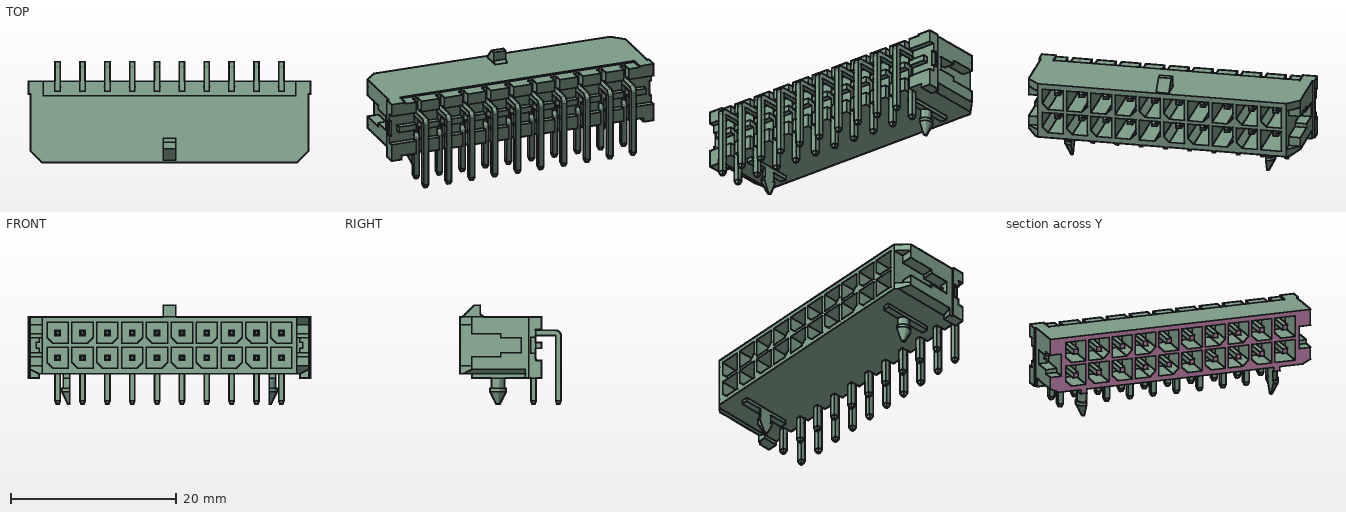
import cadquery as cq


COLUMNS = 10
PITCH = 3.0

HOUSING_HALF = 16.85
HOUSING_TOP = 6.9
MID_HEIGHT = HOUSING_TOP / 2
CORNER_CHAMFER = 1.45
CHAMFER_FACE_HALF = HOUSING_HALF - CORNER_CHAMFER
WINDOW_HEIGHT = 5.0

FLANGE_HALF = 17.08
FLANGE_FRONT = 8.3
FLANGE_BACK = 9.87
LEG_FRONT = 7.92
LEG_INNER = 15.78
LEG_DROP = 0.5
BEVEL_HEIGHT = 0.55

NOTCH_FRONT = 9.15
NOTCH_BOTTOM = 1.65
NOTCH_TOP = 5.35
RIB_HALF = 16.12
RIB_HEIGHT = 0.72
TOP_RECESS_HALF = 15.25
TOP_RECESS_FRONT = 8.1
TOP_RECESS_DEPTH = 0.17
PIN_SLOT_FRONT = 8.65
SIDE_RECESS_FRONT = 8.55
SIDE_RECESS_HEIGHT = 1.95

WIDE_SLOT_END = 4.92
WIDE_SLOT_HEIGHT = 2.75
NARROW_SLOT_END = 7.4
NARROW_SLOT_HEIGHT = 1.78
SLOT_RELIEF_END = 7.65

POCKET_SIZE = 2.55
POCKET_DEPTH = 6.83
POCKET_KEY = 0.72
TOP_ROW_KEYS = "LRRRLLRRLL"
BOTTOM_ROW_KEYS = "LLLRRLLRL-"

PIN_WIDTH = 0.65
PIN_TIP_WIDTH = 0.35
PIN_TIP_LENGTH = 0.4
PIN_FRONT = 2.05
PIN_BOTTOM = -3.65
TOP_PIN_BACK = 12.23
BOTTOM_PIN_BACK = 9.22
BEND_RADIUS = PIN_WIDTH

LATCH_WIDTH = 1.57
LATCH_TOP = 8.3
LATCH_RAMP_START = 0.3
LATCH_RAMP_END = 1.7
LATCH_BACK = 2.45
LATCH_FOOT_BACK = 2.95
LATCH_FOOT_HEIGHT = 0.3

PEG_FLAT = 12.05
PEG_Y = 4.6
PEG_RADIUS = 0.82
BARB_RADIUS = 1.0
BARB_TIP_RADIUS = 0.25
BARB_TOP = -1.75
BARB_SHOULDER = -2.15

SIDES = (-1, 1)


def block(x0, x1, y0, y1, z0, z1):
    """Box between two opposite corners, given in any order along each axis."""
    solid = cq.Workplane("XY").box(abs(x1 - x0), abs(y1 - y0), abs(z1 - z0))
    return solid.translate(((x0 + x1) / 2, (y0 + y1) / 2, (z0 + z1) / 2))


def mid_block(x0, x1, y0, y1, height):
    """Box centred on the mid-height of the housing."""
    return block(x0, x1, y0, y1, MID_HEIGHT - height / 2, MID_HEIGHT + height / 2)


def group(parts):
    """Gathers separate solids so that they are joined or cut together."""
    return cq.Workplane(cq.Compound.makeCompound([part.val() for part in parts]))


def column_x(column):
    return (column - (COLUMNS - 1) / 2) * PITCH


def make_housing():
    body = (
        block(-HOUSING_HALF, HOUSING_HALF, 0, FLANGE_BACK, 0, HOUSING_TOP)
        .edges("|Z and <Y")
        .chamfer(CORNER_CHAMFER)
    )
    for side in SIDES:
        bevel = (
            cq.Workplane("XZ")
            .moveTo(side * HOUSING_HALF, BEVEL_HEIGHT)
            .lineTo(side * LEG_INNER, 0)
            .lineTo(side * HOUSING_HALF, 0)
            .close()
            .extrude(-LEG_FRONT)
        )
        body = body.cut(bevel)
        inner = side * LEG_INNER
        flange = block(inner, side * FLANGE_HALF, FLANGE_FRONT, FLANGE_BACK, -LEG_DROP, HOUSING_TOP)
        leg = block(inner, side * HOUSING_HALF, LEG_FRONT, FLANGE_BACK, -LEG_DROP, BEVEL_HEIGHT)
        body = body.union(flange).union(leg)
    return body


def cut_end_slots(body):
    for side in SIDES:
        inner = side * CHAMFER_FACE_HALF
        outer = side * FLANGE_HALF
        body = body.cut(mid_block(inner, outer, 0, CORNER_CHAMFER, WINDOW_HEIGHT))
        body = body.cut(mid_block(inner, outer, 0, WIDE_SLOT_END, WIDE_SLOT_HEIGHT))
        body = body.cut(mid_block(inner, outer, 0, NARROW_SLOT_END, NARROW_SLOT_HEIGHT))
        relief = mid_block(inner, side * LEG_INNER, NARROW_SLOT_END, SLOT_RELIEF_END, NARROW_SLOT_HEIGHT)
        relief_tab = mid_block(inner, side * RIB_HALF, NARROW_SLOT_END, SLOT_RELIEF_END, RIB_HEIGHT)
        body = body.cut(relief).cut(relief_tab)
    return body


def shape_rear(body):
    body = body.cut(block(-FLANGE_HALF, FLANGE_HALF, NOTCH_FRONT, FLANGE_BACK, NOTCH_BOTTOM, NOTCH_TOP))
    body = body.union(mid_block(-RIB_HALF, RIB_HALF, NOTCH_FRONT, FLANGE_BACK, RIB_HEIGHT))
    for side in SIDES:
        recess = mid_block(
            side * HOUSING_HALF, side * FLANGE_HALF, SIDE_RECESS_FRONT, NOTCH_FRONT, SIDE_RECESS_HEIGHT
        )
        body = body.cut(recess)
    recess_floor = HOUSING_TOP - TOP_RECESS_DEPTH
    body = body.cut(
        block(-TOP_RECESS_HALF, TOP_RECESS_HALF, TOP_RECESS_FRONT, FLANGE_BACK, recess_floor, HOUSING_TOP)
    )
    half = PIN_WIDTH / 2
    pin_slots = [
        block(x - half, x + half, PIN_SLOT_FRONT, FLANGE_BACK, 0, HOUSING_TOP)
        for x in map(column_x, range(COLUMNS))
    ]
    return body.cut(group(pin_slots))


def make_pocket(x, z, key):
    half = POCKET_SIZE / 2
    pocket = block(x - half, x + half, 0, POCKET_DEPTH, z - half, z + half)
    if key == "L":
        pocket = pocket.edges("|Y and <X and <Z").chamfer(POCKET_KEY)
    elif key == "R":
        pocket = pocket.edges("|Y and >X and <Z").chamfer(POCKET_KEY)
    return pocket


def make_pin(x, z, back):
    """Square bent contact with a tapered tip at each end."""
    half = PIN_WIDTH / 2
    shank_front = PIN_FRONT + PIN_TIP_LENGTH
    shank_bottom = PIN_BOTTOM + PIN_TIP_LENGTH
    contact = block(x - half, x + half, shank_front, back, z - half, z + half)
    tail = block(x - half, x + half, back - PIN_WIDTH, back, shank_bottom, z + half)
    bent = contact.union(tail).edges("|X and >Y and >Z").fillet(BEND_RADIUS)
    contact_tip = (
        cq.Workplane("XZ", origin=(x, shank_front, z))
        .rect(PIN_WIDTH, PIN_WIDTH)
        .workplane(offset=PIN_TIP_LENGTH)
        .rect(PIN_TIP_WIDTH, PIN_TIP_WIDTH)
        .loft()
    )
    tail_tip = (
        cq.Workplane("XY", origin=(x, back - half, shank_bottom))
        .rect(PIN_WIDTH, PIN_WIDTH)
        .workplane(offset=-PIN_TIP_LENGTH)
        .rect(PIN_TIP_WIDTH, PIN_TIP_WIDTH)
        .loft()
    )
    return bent.union(contact_tip).union(tail_tip)


def add_contacts(body):
    rows = (
        (MID_HEIGHT + PITCH / 2, TOP_ROW_KEYS, TOP_PIN_BACK),
        (MID_HEIGHT - PITCH / 2, BOTTOM_ROW_KEYS, BOTTOM_PIN_BACK),
    )
    pockets = []
    pins = []
    for z, keys, back in rows:
        for column, key in enumerate(keys):
            x = column_x(column)
            pockets.append(make_pocket(x, z, key))
            pins.append(make_pin(x, z, back))
    return body.cut(group(pockets)).union(group(pins))


def make_latch():
    profile = [
        (LATCH_RAMP_START, HOUSING_TOP),
        (LATCH_RAMP_END, LATCH_TOP),
        (LATCH_BACK, LATCH_TOP),
        (LATCH_BACK, HOUSING_TOP + LATCH_FOOT_HEIGHT),
        (LATCH_FOOT_BACK, HOUSING_TOP),
    ]
    return cq.Workplane("YZ").polyline(profile).close().extrude(LATCH_WIDTH / 2, both=True)


def make_peg(side):
    """Rail under the housing carrying a half-round barbed peg, flat towards the middle."""
    flat = side * PEG_FLAT
    outside = side * (PEG_FLAT + PEG_RADIUS)
    rail = block(flat, outside, CORNER_CHAMFER, LEG_FRONT, -LEG_DROP, 0)
    half_profile = [
        (0, -LEG_DROP),
        (PEG_RADIUS, -LEG_DROP),
        (PEG_RADIUS, BARB_TOP),
        (BARB_RADIUS, BARB_TOP),
        (BARB_RADIUS, BARB_SHOULDER),
        (BARB_TIP_RADIUS, PIN_BOTTOM),
        (0, PIN_BOTTOM),
    ]
    peg = (
        cq.Workplane("XZ", origin=(flat, PEG_Y, 0))
        .polyline(half_profile)
        .close()
        .revolve(360, (0, 0, 0), (0, 1, 0))
    )
    inner_half = block(
        flat, flat - side * BARB_RADIUS, PEG_Y - BARB_RADIUS, PEG_Y + BARB_RADIUS, PIN_BOTTOM, -LEG_DROP
    )
    return rail.union(peg.cut(inner_half))


result = shape_rear(cut_end_slots(make_housing()))
result = add_contacts(result)
result = result.union(make_latch())
for side in SIDES:
    result = result.union(make_peg(side))